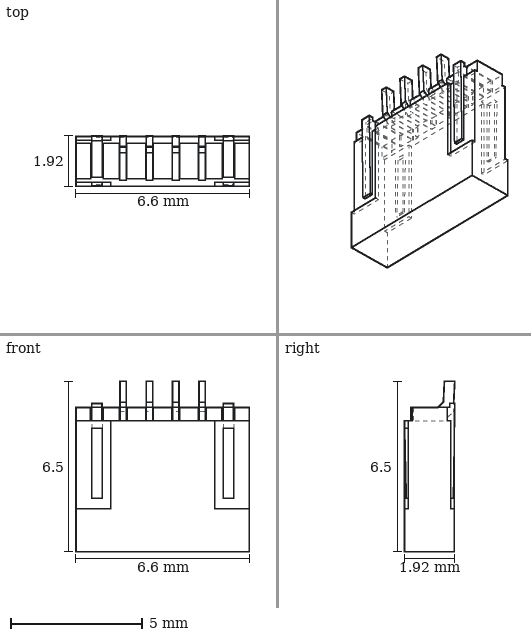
import cadquery as cq

width = 6.6
depth = 1.9
shoulder_z = 4.995
block_top_z = 5.505
block_front_inset = 0.29
block_back_inset = 0.27

recess_width = 1.32
recess_depth = 0.145
recess_bottom_z = 1.65

position_count = 6
position_span = 5.0
pitch = position_span / (position_count - 1)

tab_width = 0.4
tab_slot_width = 0.48
tab_top_z = 5.65
tab_lip = 0.2
tab_front_inset = 0.34
strip_bottom_z = 2.045
front_strip_top_z = 4.7
front_strip_top_inset = 0.01
front_strip_bottom_inset = 0.07
back_strip_bottom_inset = 0.04

pin_width = 0.25
pin_slot_width = 0.285
pin_top_z = 6.5
pin_thickness = 0.4
pin_lean = 0.04
pin_elbow = 0.2
pin_heel_z = 5.345
pin_front_inset = 0.24

back_overhang = 0.02

front_y = -depth / 2
back_y = depth / 2
outer_back_y = back_y + back_overhang
block_front_y = front_y + block_front_inset
block_back_y = back_y - block_back_inset


def box(x_center, x_size, y_range, z_range):
    """Box centred on x_center, between the given Y and Z limits."""
    y_low, y_high = y_range
    z_low, z_high = z_range
    return cq.Workplane("XY").box(
        x_size, y_high - y_low, z_high - z_low, centered=(True, False, False)
    ).translate((x_center, y_low, z_low))


def side_plate(x_center, thickness, outline):
    """Plate with a (Y, Z) outline, centred on x_center."""
    plate = cq.Workplane("YZ").polyline(outline).close().extrude(thickness / 2, both=True)
    return plate.translate((x_center, 0, 0))


def make_housing():
    body = box(0, width, (front_y, back_y), (0, shoulder_z))
    recess_z = (recess_bottom_z, shoulder_z)
    for side in (-1, 1):
        recess_x = side * (width - recess_width) / 2
        body = body.cut(box(recess_x, recess_width, (front_y, front_y + recess_depth), recess_z))
        body = body.cut(box(recess_x, recess_width, (back_y - recess_depth, back_y), recess_z))
    return body.union(box(0, width, (block_front_y, block_back_y), (shoulder_z, block_top_z)))


def cut_slot(body, x_center, slot_width):
    slot = box(x_center, slot_width, (block_front_y, block_back_y), (shoulder_z, block_top_z))
    return body.cut(slot)


def make_tab(x_center):
    """Tab lying in its slot, with a lip and a tapered strip down the back recess."""
    recess_floor_y = back_y - recess_depth
    lip_front_y = outer_back_y - tab_lip
    tab_front_y = front_y + tab_front_inset
    outline = [
        (outer_back_y, tab_top_z),
        (lip_front_y, tab_top_z),
        (lip_front_y, block_top_z),
        (tab_front_y, block_top_z),
        (tab_front_y, shoulder_z),
        (recess_floor_y, shoulder_z),
        (recess_floor_y, strip_bottom_z),
        (back_y - back_strip_bottom_inset, strip_bottom_z),
    ]
    return side_plate(x_center, tab_width, outline)


def make_front_strip(x_center):
    recess_floor_y = front_y + recess_depth
    outline = [
        (front_y + front_strip_top_inset, front_strip_top_z),
        (recess_floor_y, front_strip_top_z),
        (recess_floor_y, strip_bottom_z),
        (front_y + front_strip_bottom_inset, strip_bottom_z),
    ]
    return side_plate(x_center, tab_width, outline)


def make_pin(x_center):
    """Cranked pin: an arm in the slot, an elbow, and a slightly leaning leg."""
    leg_top_y = outer_back_y - pin_thickness
    elbow_y = leg_top_y - pin_lean
    elbow_z = block_top_z + pin_elbow
    heel_lean = pin_lean * (pin_top_z - pin_heel_z) / (pin_top_z - elbow_z)
    arm_front_y = front_y + pin_front_inset
    outline = [
        (outer_back_y, pin_top_z),
        (leg_top_y, pin_top_z),
        (elbow_y, elbow_z),
        (elbow_y - pin_elbow, block_top_z),
        (arm_front_y, block_top_z),
        (arm_front_y, shoulder_z),
        (elbow_y, shoulder_z),
        (outer_back_y - heel_lean, pin_heel_z),
    ]
    return side_plate(x_center, pin_width, outline)


result = make_housing()
for index in range(position_count):
    position_x = index * pitch - position_span / 2
    if index in (0, position_count - 1):
        result = cut_slot(result, position_x, tab_slot_width)
        result = result.union(make_tab(position_x)).union(make_front_strip(position_x))
    else:
        result = cut_slot(result, position_x, pin_slot_width)
        result = result.union(make_pin(position_x))